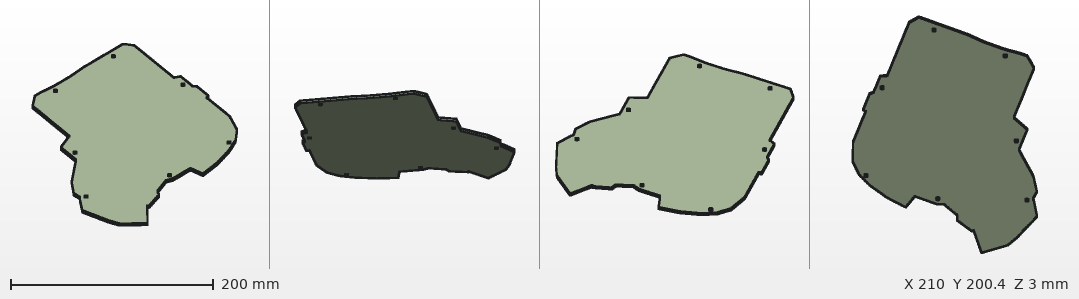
import cadquery as cq


length = 210.04
width = 200.41
thickness = 3.0
hole_diameter = 3.0

left_block_bottom = 58.8
left_block_top = 191.15
shoulder_level = 197.4
foot_level = 41.9
right_edge_x = 177.8

waist_middle = 104.5
waist_steps = [(0.0, 28.2), (1.1, 15.4), (1.5, 9.5)]

bottom_bend = 0.1

hole_centers = [
    (7.0, 165.45),
    (82.3, 191.4),
    (174.6, 172.85),
    (172.1, 98.1),
    (7.5, 90.15),
    (87.25, 47.8),
    (142.0, 15.65),
]


def left_edge():
    """Points of the left edge from top to bottom, including both corner chamfers."""
    upper_waist = [(inset, waist_middle + offset) for inset, offset in waist_steps]
    lower_waist = [(inset, waist_middle - offset) for inset, offset in reversed(waist_steps)]
    top_chamfer = [(8.7, left_block_top), (0.0, 184.3)]
    bottom_chamfer = [(0.0, 69.85), (9.4, left_block_bottom + bottom_bend)]
    return top_chamfer + upper_waist + lower_waist + bottom_chamfer


def bottom_edge():
    """Points from the left block along the foot and down to the lowest corner."""
    return [
        (28.5, left_block_bottom + bottom_bend),
        (33.1, left_block_bottom + bottom_bend / 2),
        (36.2, left_block_bottom),
        (65.55, left_block_bottom),
        (71.45, 44.25),
        (72.45, foot_level),
        (95.5, foot_level),
        (114.75, 20.45),
        (116.65, 18.45),
        (130.55, 9.4),
        (138.8, 10.5),
        (140.6, 8.65),
        (154.7, 0.0),
    ]


def right_lobe():
    """Points of the lower right lobe, up to the notch in the right side."""
    return [
        (182.2, 10.4),
        (193.15, 16.05),
        (length, 37.4),
        (190.75, 53.2),
        (192.25, 53.8),
        (186.6, 72.0),
        (181.55, 74.05),
        (175.4, 90.5),
        (right_edge_x, 97.15),
        (right_edge_x, 120.0),
    ]


def upper_right_corner():
    """Points of the faceted, rounded upper right corner."""
    return [
        (191.85, 124.25),
        (189.7, 140.35),
        (188.65, 146.3),
        (183.05, 165.35),
        (176.2, 179.75),
        (165.65, 190.65),
        (146.75, shoulder_level),
    ]


def top_edge():
    """Points of the stepped top edge, from right to left."""
    return [
        (111.4, shoulder_level),
        (111.0, width),
        (93.0, width),
        (90.15, shoulder_level),
        (71.75, shoulder_level),
        (69.0, left_block_top),
    ]


def make_plate():
    outline = left_edge() + bottom_edge() + right_lobe() + upper_right_corner() + top_edge()
    return cq.Workplane("XY").polyline(outline).close().extrude(thickness)


def make_holes():
    return cq.Workplane("XY").pushPoints(hole_centers).circle(hole_diameter / 2).extrude(thickness)


result = make_plate().cut(make_holes())